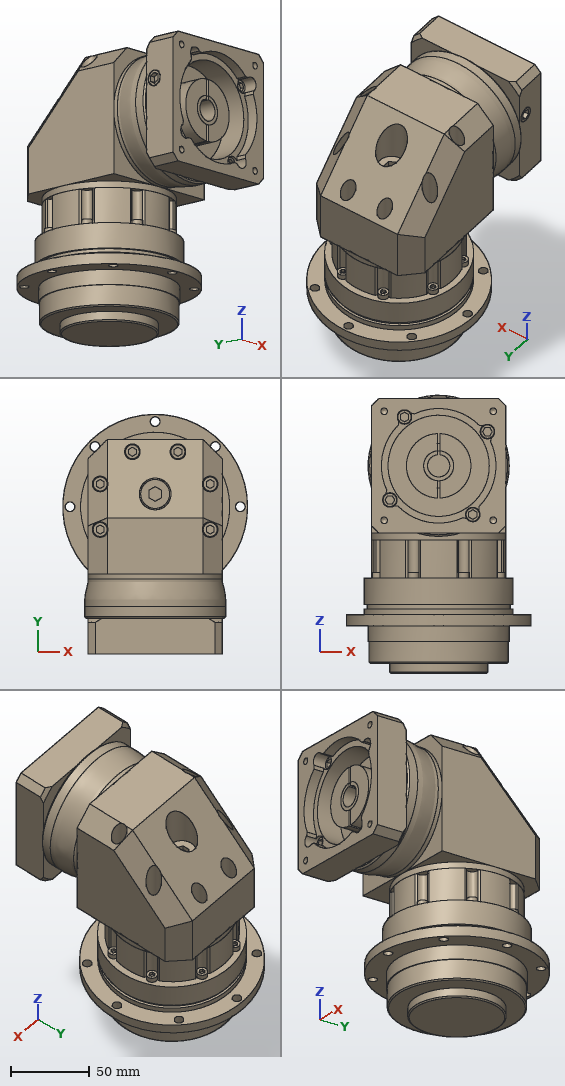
import cadquery as cq
import math


half_width = 43.0
overall_height = 177.5
large_radius = 45.0
motor_axis_z = overall_height - large_radius
housing_bottom = motor_axis_z - half_width
housing_top = motor_axis_z + half_width
hex_corner_ratio = 2 / math.sqrt(3)

stub_radius = 31.5
stub_length = 6.4
edge_chamfer = 0.9
pilot_radius = 44.5
pilot_top = 20.5
shoulder_radius = 45.0
flange_diameter = 118.0
flange_radius = flange_diameter / 2
flange_bottom = 30.4
flange_top = 37.5
flange_hole_circle = 54.3
flange_hole_radius = 3.0
flange_hole_count = 8
case_radius = 47.5
disc_top = 60.7
neck_top = 85.2
neck_screw_circle = 41.9
neck_screw_count = 8
neck_slot_radius = 3.7
neck_mouth_half_width = 5.1
neck_head_radius = 3.5
neck_head_height = 3.7
neck_hex_flats = 3.4
neck_hex_depth = 2.1
seal_groove_bottom = 41.2
seal_groove_top = 43.8
seal_groove_radius = 45.8

slope_leg = 50.0
side_chamfer = 12.5
collar_front = -46.0
joint_screw_circle = 38.0
joint_screw_count = 8
access_radius = 5.0
joint_screw_seat = 95.8
joint_head_top = 103.0
joint_head_radius = 4.5
joint_hex_flats = 5.0
joint_hex_depth = 3.5
plug_y = 8.2
plug_hole_radius = 10.1
plug_radius = 9.2
plug_hole_floor = 134.9
plug_top = 142.0
plug_hex_flats = 8.2
plug_hex_depth = 3.5

bell_flare_start = -48.1
bell_flare_end = -59.5
bell_flare_bow = 0.4
bell_front = -63.7
spigot_front = -68.5
spigot_radius = 32.3

plate_front = -94.0
plate_back = -71.2
boss_chamfer = 1.0
plate_corner_chamfer = 4.8
back_cone_radius = 54.8
register_radius = 36.5
register_depth = 7.5
motor_hole_offset = 34.8
motor_hole_radius = 2.1
motor_hole_depth = 14.2
drill_point_angle = 118.0
plate_screw_circle = 38.0
plate_screw_angle = 35.0
plate_screw_count = 4
plate_pocket_radius = 4.6
plate_pocket_depth = 13.0
plate_mouth_half_width = 6.4
plate_mouth_radius = 35.9
plate_head_radius = 4.3
plate_head_depth = 9.2
plate_hex_flats = 5.3
plate_hex_depth = 2.7
cap_y = -77.7
cap_rise = 14.0
cap_radius = 5.1
cap_gap = 0.2
cap_gap_depth = 0.9
cap_hex_flats = 6.2
cap_hex_depth = 3.5

hub_front = -84.7
hub_radius = 20.6
journal_radius = 14.2
journal_back = -58.5
slit_width = 1.69
bush_radius = 9.5
bush_bore_radius = 7.1
bush_back = -63.9


def cylinder_z(radius, low, high, x=0.0, y=0.0):
    """Upright cylinder between two heights."""
    return cq.Workplane("XY", origin=(x, y, low)).circle(radius).extrude(high - low)


def cylinder_y(radius, front, back, x=0.0, rise=0.0):
    """Cylinder along Y, placed relative to the motor axis."""
    base = cq.Workplane("XZ", origin=(x, back, motor_axis_z + rise))
    return base.circle(radius).extrude(back - front)


def socket_head_z(radius, low, high, hex_flats, hex_depth, x, y):
    """Upright round screw head with a hexagon socket in its top."""
    socket = (
        cq.Workplane("XY", origin=(x, y, high))
        .transformed(rotate=(0, 0, 90))
        .polygon(6, hex_flats * hex_corner_ratio)
        .extrude(-hex_depth)
    )
    return cylinder_z(radius, low, high, x, y).cut(socket)


def polar_points(radius, count, first_angle):
    """Evenly spaced points on a circle, each with its angle in degrees."""
    angles = [first_angle + i * 360 / count for i in range(count)]
    return [(radius * math.cos(math.radians(a)), radius * math.sin(math.radians(a)), a) for a in angles]


neck_screws = polar_points(neck_screw_circle, neck_screw_count, 180 / neck_screw_count)
joint_screws = polar_points(joint_screw_circle, joint_screw_count, 180 / joint_screw_count)
plate_screws = polar_points(plate_screw_circle, plate_screw_count, plate_screw_angle)


def neck_slot(x, y, angle):
    """Round groove in the neck with a flared mouth, open at the top."""
    mouth_distance = math.sqrt(half_width**2 - neck_mouth_half_width**2)
    flare = (
        cq.Workplane("XY", origin=(0, 0, disc_top))
        .moveTo(neck_screw_circle, -neck_slot_radius)
        .lineTo(mouth_distance, -neck_mouth_half_width)
        .lineTo(half_width, -neck_mouth_half_width)
        .lineTo(half_width, neck_mouth_half_width)
        .lineTo(mouth_distance, neck_mouth_half_width)
        .lineTo(neck_screw_circle, neck_slot_radius)
        .close()
        .extrude(neck_top - disc_top)
        .rotate((0, 0, 0), (0, 0, 1), angle)
    )
    return cylinder_z(neck_slot_radius, disc_top, neck_top, x, y).union(flare)


def make_gear_case():
    case = cylinder_z(stub_radius, 0, stub_length).faces("<Z").chamfer(edge_chamfer)
    pilot = cylinder_z(pilot_radius, stub_length, pilot_top).faces("<Z").chamfer(edge_chamfer)
    case = case.union(pilot)
    case = case.union(cylinder_z(shoulder_radius, pilot_top, flange_bottom))
    case = case.union(cylinder_z(flange_radius, flange_bottom, flange_top))
    case = case.union(cylinder_z(case_radius, flange_top, seal_groove_bottom))
    case = case.union(cylinder_z(seal_groove_radius, seal_groove_bottom, seal_groove_top))
    case = case.union(cylinder_z(case_radius, seal_groove_top, disc_top))
    case = case.union(cylinder_z(half_width, disc_top, neck_top))
    for x, y, _ in polar_points(flange_hole_circle, flange_hole_count, 0):
        case = case.cut(cylinder_z(flange_hole_radius, flange_bottom, flange_top, x, y))
    for x, y, angle in neck_screws:
        case = case.cut(neck_slot(x, y, angle))
        head_top = disc_top + neck_head_height
        case = case.union(
            socket_head_z(neck_head_radius, disc_top, head_top, neck_hex_flats, neck_hex_depth, x, y)
        )
    return case


def housing_block():
    block = (
        cq.Workplane("YZ")
        .moveTo(-half_width, housing_bottom)
        .lineTo(half_width, housing_bottom)
        .lineTo(half_width, housing_top - slope_leg)
        .lineTo(half_width - slope_leg, housing_top)
        .lineTo(-half_width, housing_top)
        .close()
        .extrude(half_width, both=True)
    )
    return block.faces("<X or >X").edges("not (<Y or <Z)").chamfer(side_chamfer)


def add_joint_screws(housing):
    """Screw heads at the bottom of access holes; none below the motor collar."""
    for x, y, _ in joint_screws:
        if y < -half_width / 2:
            continue
        housing = housing.cut(cylinder_z(access_radius, joint_screw_seat, housing_top, x, y))
        housing = housing.union(
            socket_head_z(
                joint_head_radius, joint_screw_seat, joint_head_top, joint_hex_flats, joint_hex_depth, x, y
            )
        )
    return housing


def add_oil_plug(housing):
    """Recessed hexagon-socket plug in the sloped face."""
    housing = housing.cut(cylinder_z(plug_hole_radius, plug_hole_floor, housing_top, 0, plug_y))
    return housing.union(
        socket_head_z(plug_radius, plug_hole_floor, plug_top, plug_hex_flats, plug_hex_depth, 0, plug_y)
    )


def make_housing():
    housing = cylinder_z(half_width, neck_top, housing_bottom).union(housing_block())
    housing = housing.union(cylinder_y(half_width, collar_front, -half_width))
    return add_oil_plug(add_joint_screws(housing))


def make_bell():
    flare_middle = (bell_flare_start + bell_flare_end) / 2
    middle_radius = (half_width + large_radius) / 2 + bell_flare_bow
    bell = (
        cq.Workplane("XY", origin=(0, 0, motor_axis_z))
        .moveTo(0, collar_front)
        .lineTo(half_width, collar_front)
        .lineTo(half_width, bell_flare_start)
        .threePointArc((middle_radius, flare_middle), (large_radius, bell_flare_end))
        .lineTo(large_radius, bell_front)
        .lineTo(spigot_radius, bell_front)
        .lineTo(spigot_radius, spigot_front)
        .lineTo(0, spigot_front)
        .close()
        .revolve(360, (0, 0, 0), (0, 1, 0))
    )
    return bell.cut(cylinder_y(journal_radius, spigot_front, journal_back))


def plate_blank():
    plate = (
        cq.Workplane("XZ", origin=(0, plate_back, motor_axis_z))
        .rect(2 * half_width, 2 * half_width)
        .extrude(plate_back - plate_front)
        .edges("|Y")
        .chamfer(plate_corner_chamfer)
    )
    depth = plate_back - plate_front
    trim = (
        cq.Workplane("XY", origin=(0, 0, motor_axis_z))
        .moveTo(0, plate_back)
        .lineTo(back_cone_radius, plate_back)
        .lineTo(back_cone_radius + depth, plate_front)
        .lineTo(0, plate_front)
        .close()
        .revolve(360, (0, 0, 0), (0, 1, 0))
    )
    boss = cylinder_y(large_radius, plate_back, bell_front).faces("<Y").chamfer(boss_chamfer)
    return plate.intersect(trim).union(boss)


def drilled_hole(x, rise):
    """Blind motor-screw hole with a drill point."""
    point_length = motor_hole_radius / math.tan(math.radians(drill_point_angle / 2))
    floor = plate_front + motor_hole_depth
    return (
        cq.Workplane("XY", origin=(x, 0, motor_axis_z + rise))
        .moveTo(0, plate_front)
        .lineTo(motor_hole_radius, plate_front)
        .lineTo(motor_hole_radius, floor)
        .lineTo(0, floor + point_length)
        .close()
        .revolve(360, (0, 0, 0), (0, 1, 0))
    )


def pocket_flare(angle):
    """Widening from a screw pocket into the register bore, as deep as the register."""
    return (
        cq.Workplane("XZ", origin=(0, plate_front + register_depth, motor_axis_z))
        .transformed(rotate=(0, 0, angle))
        .moveTo(plate_screw_circle, -plate_pocket_radius)
        .lineTo(plate_mouth_radius, -plate_mouth_half_width)
        .lineTo(plate_mouth_radius, plate_mouth_half_width)
        .lineTo(plate_screw_circle, plate_pocket_radius)
        .close()
        .extrude(register_depth)
    )


def plate_screw_head(x, rise, angle):
    head_front = plate_front + plate_head_depth
    head = cylinder_y(plate_head_radius, head_front, plate_front + plate_pocket_depth, x, rise)
    socket = (
        cq.Workplane("XZ", origin=(x, head_front, motor_axis_z + rise))
        .transformed(rotate=(0, 0, angle - plate_screw_angle))
        .polygon(6, plate_hex_flats * hex_corner_ratio)
        .extrude(-plate_hex_depth)
    )
    return head.cut(socket)


def side_cap_cut():
    """Thin ring groove and hexagon socket that form a flush cap in the -X side."""
    face = cq.Workplane("YZ", origin=(-half_width, cap_y, motor_axis_z + cap_rise))
    ring = face.circle(cap_radius).circle(cap_radius - cap_gap).extrude(cap_gap_depth)
    socket = (
        face.transformed(rotate=(0, 0, 90))
        .polygon(6, cap_hex_flats * hex_corner_ratio)
        .extrude(cap_hex_depth)
    )
    return ring.union(socket)


def make_motor_plate():
    plate = plate_blank()
    plate = plate.cut(cylinder_y(register_radius, plate_front, plate_front + register_depth))
    bore = cylinder_y(spigot_radius, plate_front, bell_front)
    plate = plate.cut(bore)
    for x in (-motor_hole_offset, motor_hole_offset):
        for rise in (-motor_hole_offset, motor_hole_offset):
            plate = plate.cut(drilled_hole(x, rise))
    for x, rise, angle in plate_screws:
        pocket = cylinder_y(plate_pocket_radius, plate_front, plate_front + plate_pocket_depth, x, rise)
        plate = plate.cut(pocket).cut(pocket_flare(angle))
        plate = plate.union(plate_screw_head(x, rise, angle).cut(bore))
    return plate.cut(side_cap_cut())


def make_hub():
    disc = cylinder_y(hub_radius, hub_front, spigot_front)
    slit = cq.Workplane("XY").box(slit_width, spigot_front - hub_front, 2 * hub_radius)
    slit = slit.translate((0, (hub_front + spigot_front) / 2, motor_axis_z))
    hub = cylinder_y(journal_radius, spigot_front, journal_back).union(disc.cut(slit))
    return hub.cut(cylinder_y(bush_radius, hub_front, bush_back))


def make_bush():
    bush = cylinder_y(bush_radius, hub_front, bush_back)
    bush = bush.cut(cylinder_y(bush_bore_radius, hub_front, bush_back))
    slit = cq.Workplane("XY").box(
        slit_width, bush_back - hub_front, bush_radius, centered=(True, True, False)
    )
    return bush.cut(slit.translate((0, (hub_front + bush_back) / 2, motor_axis_z)))


gear_case = make_gear_case()
housing = make_housing()
bell = make_bell()
motor_plate = make_motor_plate()
hub = make_hub()
bush = make_bush()

bodies = [gear_case, housing, bell, motor_plate, hub, bush]
result = cq.Compound.makeCompound([body.solids().val() for body in bodies])